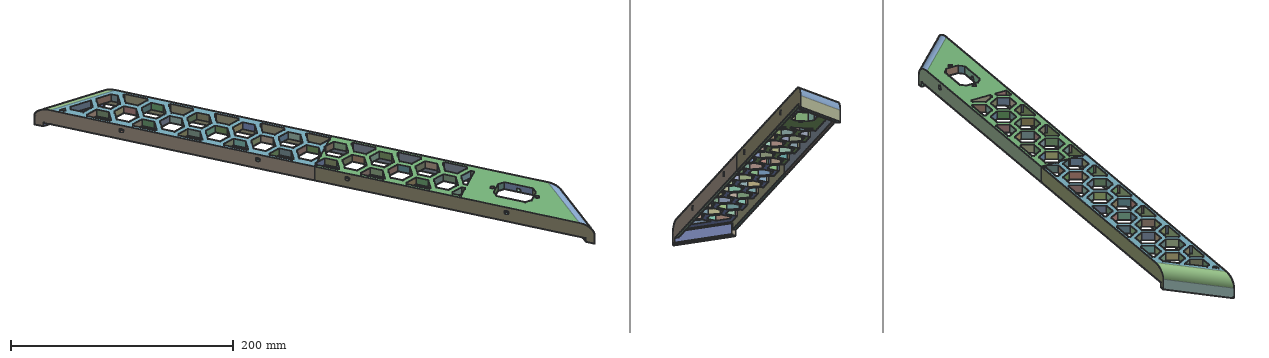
import cadquery as cq
import math

length = 531.72
back_length = 439.2
width = 46.8
height = 21.0
foot_height = 5.0
end_round = 10.3
wall = 3.0
slab = 8.0

foot_thickness = 6.0
foot_chamfer = 1.0
foot_reach = 51.0

hex_flats = 20.0
hex_web = 5.0
hex_corners = hex_flats / math.cos(math.pi / 6)
grille_shift = -0.3
grille_margin = 4.0
grille_right = 138.0

socket_x = 182.0
socket_length = 36.0
socket_width = 21.0
socket_chamfer = 4.5
socket_screw_spacing = 42.5
socket_screw_diameter = 3.5

front_hole_diameter = 4.0
front_hole_drop = 6.0
blind_hole_x = (-183.3, -53.8, 31.0)
cable_hole_x = socket_x

half_length = length / 2
half_back = back_length / 2
mid_y = width / 2
end_slope = (half_length - half_back) / width
end_stretch = math.hypot(1, end_slope)


def end_x(y, inset):
    """Distance from the middle to a line set in from the slanted end, at the given y."""
    return half_length - end_slope * y - inset * end_stretch


def prism(points, bottom, top):
    return cq.Workplane("XY").workplane(offset=bottom).polyline(points).close().extrude(top - bottom)


def trapezoid(end_inset, side_inset, bottom, top):
    front = end_x(side_inset, end_inset)
    back = end_x(width - side_inset, end_inset)
    points = [
        (-front, side_inset),
        (front, side_inset),
        (back, width - side_inset),
        (-back, width - side_inset),
    ]
    return prism(points, bottom, top)


def shell():
    block = trapezoid(0, 0, foot_height, height)
    rounded = block.faces(">Z").edges("not |X").fillet(end_round)
    return rounded.cut(trapezoid(wall, wall, foot_height, height - slab))


def left_foot():
    inner_end = half_length - foot_reach
    inner_end_y = (end_x(0, foot_thickness) - inner_end) / end_slope
    points = [
        (-half_length, 0),
        (-end_x(0, foot_thickness), 0),
        (-inner_end, inner_end_y),
        (-inner_end, width),
        (-half_back, width),
    ]
    foot = prism(points, 0, height - end_round)
    front_edge = foot.faces("<Z").edges("<Y")
    inner_edge = foot.faces("<Z").edges(cq.selectors.NearestToPointSelector(
        (-end_x(mid_y, foot_thickness), mid_y, 0)))
    return front_edge.add(inner_edge).chamfer(foot_chamfer)


def grille():
    front = end_x(wall, end_round + grille_margin)
    back = end_x(width - wall, end_round + grille_margin)
    area = prism(
        [(-front, wall), (grille_right, wall), (grille_right, width - wall), (-back, width - wall)],
        0,
        height,
    )
    pitch = hex_flats + hex_web
    column_pitch = pitch * math.sqrt(3) / 2
    columns = math.ceil(half_length / column_pitch)
    centers = []
    for column in range(-columns, columns):
        x = grille_shift + (column + 0.5) * column_pitch
        shift = pitch / 4 if column % 2 == 0 else -pitch / 4
        for row in (-1, 0, 1):
            centers.append((x, mid_y + shift + row * pitch))
    cells = cq.Workplane("XY").pushPoints(centers).polygon(6, hex_corners).extrude(height)
    return cells.intersect(area)


def socket():
    middle = cq.Workplane("XY").center(socket_x, mid_y)
    opening = middle.rect(socket_length, socket_width).extrude(height).edges("|Z").chamfer(socket_chamfer)
    screw_x = socket_screw_spacing / 2
    screws = middle.pushPoints([(-screw_x, 0), (screw_x, 0)]).circle(socket_screw_diameter / 2).extrude(height)
    return opening.union(screws)


def front_hole(x, depth):
    plane = cq.Workplane("XZ").center(x, height - front_hole_drop)
    return plane.circle(front_hole_diameter / 2).extrude(-depth)


foot = left_foot()
frame = shell().union(foot).union(foot.mirror("YZ"))
frame = frame.cut(grille()).cut(socket()).cut(front_hole(cable_hole_x, width))
for hole_x in blind_hole_x:
    frame = frame.cut(front_hole(hole_x, wall))

left_space = cq.Workplane("XY").box(half_length, width, height, centered=False).translate((-half_length, 0, 0))
right_space = left_space.translate((half_length, 0, 0))
left_half = frame.intersect(left_space)
right_half = frame.intersect(right_space)

result = cq.Compound.makeCompound([*left_half.vals(), *right_half.vals()])